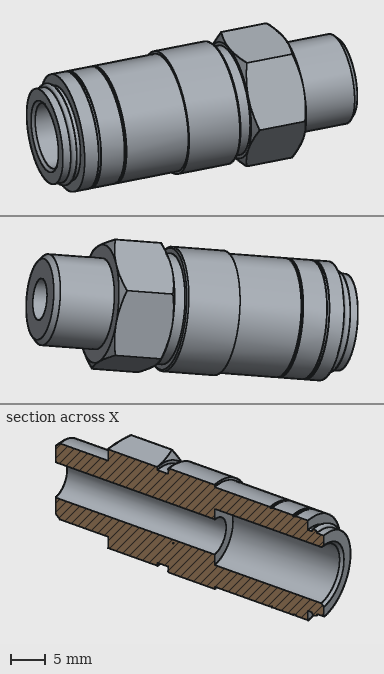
import cadquery as cq
import math

length = 46.0
bead_station = 1.65
body_start = 2.7
groove_spans = [(4.9, 5.3), (8.92, 9.2)]
collar_start = 18.7
collar_end = 26.75
hex_start = 28.5
hex_end = 37.05
bore_depth = collar_start

tip_radius = 7.0
bead_radius = 7.45
body_radius = 8.6
collar_radius = 8.995
neck_radius = 8.0
stub_radius = 6.6
bore_radius = 4.8
passage_radius = 3.0

bead_width = 0.9
groove_depth = 0.15
collar_chamfer = 0.25
stub_chamfer = 0.75
bore_chamfer = 0.45

across_flats = 17.0
across_corners = across_flats / math.cos(math.radians(30))
hex_chamfer_angle = math.radians(30)

axis_origin = (0, -length / 2, 0)


def section_plane(station):
    """Plane across the axis at a station, with its normal along +Y."""
    y = station - length / 2
    return cq.Plane(origin=(0, y, 0), xDir=(1, 0, 0), normal=(0, 1, 0))


def cylinder(start, end, radius):
    return cq.Workplane(section_plane(start)).circle(radius).extrude(end - start)


def revolve_profile(profile):
    """Revolve an XY profile, drawn as (radius, station), about the Y axis."""
    return profile.close().revolve(360, (0, 0, 0), (0, 1, 0)).translate(axis_origin)


def make_hexagon():
    """Hexagon with corners on X and both ends turned to a cone touching the flats."""
    prism = (
        cq.Workplane(section_plane(hex_start))
        .polygon(6, across_corners)
        .extrude(hex_end - hex_start)
    )
    flat_radius = across_flats / 2
    corner_radius = across_corners / 2
    corner_drop = (corner_radius - flat_radius) * math.tan(hex_chamfer_angle)
    outer_radius = 2 * corner_radius - flat_radius
    outer_drop = 2 * corner_drop
    envelope = revolve_profile(
        cq.Workplane("XY")
        .moveTo(0, hex_start)
        .lineTo(flat_radius, hex_start)
        .lineTo(outer_radius, hex_start + outer_drop)
        .lineTo(outer_radius, hex_end - outer_drop)
        .lineTo(flat_radius, hex_end)
        .lineTo(0, hex_end)
    )
    return prism.intersect(envelope)


def make_bead():
    """Retaining ring with a rounded rim around the tip."""
    round_radius = bead_width / 2
    rim_radius = bead_radius - round_radius
    return revolve_profile(
        cq.Workplane("XY")
        .moveTo(0, bead_station - round_radius)
        .lineTo(rim_radius, bead_station - round_radius)
        .threePointArc((bead_radius, bead_station), (rim_radius, bead_station + round_radius))
        .lineTo(0, bead_station + round_radius)
    )


def make_groove(start, end):
    """Shallow square groove around the body."""
    return revolve_profile(
        cq.Workplane("XY")
        .moveTo(body_radius, start)
        .lineTo(body_radius - groove_depth, start)
        .lineTo(body_radius - groove_depth, end)
        .lineTo(body_radius, end)
    )


def make_bore():
    """Chamfered tube socket followed by the narrower through passage."""
    return revolve_profile(
        cq.Workplane("XY")
        .moveTo(0, 0)
        .lineTo(bore_radius + bore_chamfer, 0)
        .lineTo(bore_radius, bore_chamfer)
        .lineTo(bore_radius, bore_depth)
        .lineTo(passage_radius, bore_depth)
        .lineTo(passage_radius, length)
        .lineTo(0, length)
    )


tip = cylinder(0, body_start, tip_radius)
body = cylinder(body_start, collar_start, body_radius)
for groove_start, groove_end in groove_spans:
    body = body.cut(make_groove(groove_start, groove_end))
collar = cylinder(collar_start, collar_end, collar_radius).faces(">Y").chamfer(collar_chamfer)
neck = cylinder(collar_end, hex_start, neck_radius)
stub = cylinder(hex_end, length, stub_radius).faces(">Y").chamfer(stub_chamfer)

result = (
    tip.union(make_bead())
    .union(body)
    .union(collar)
    .union(neck)
    .union(make_hexagon())
    .union(stub)
    .cut(make_bore())
)